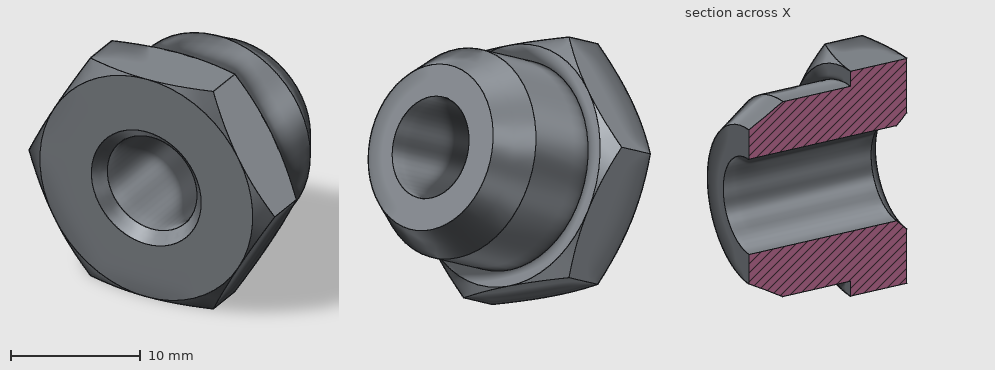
import cadquery as cq
import math

across_corners = 21.95
across_flats = across_corners * math.cos(math.radians(30))
total_length = 14.0
hex_thickness = 5.0
shank_diameter = 16.5
nose_length = 3.0
nose_angle = 30.0
bore_diameter = 8.0
countersink_diameter = 9.8
countersink_half_angle = 45.0
corner_chamfer_angle = 30.0


def revolve_about_axis(points):
    """Revolve a closed (radius, y) outline about the Y axis."""
    return cq.Workplane("XY").polyline(points).close().revolve(360, (0, 0, 0), (0, 1, 0))


def make_hex_head():
    """Hexagon with corners on X and conical chamfers on both faces."""
    prism = (
        cq.Workplane("XZ")
        .polygon(6, across_corners)
        .extrude(-hex_thickness)
    )
    face_radius = across_flats / 2
    corner_radius = across_corners / 2
    chamfer_height = (corner_radius - face_radius) * math.tan(math.radians(corner_chamfer_angle))
    envelope = revolve_about_axis([
        (0, 0),
        (face_radius, 0),
        (corner_radius, chamfer_height),
        (corner_radius, hex_thickness - chamfer_height),
        (face_radius, hex_thickness),
        (0, hex_thickness),
    ])
    return prism.intersect(envelope)


def make_shank():
    """Round shank with a tapered nose."""
    shank_radius = shank_diameter / 2
    nose_radius = shank_radius - nose_length * math.tan(math.radians(nose_angle))
    return revolve_about_axis([
        (0, 0),
        (shank_radius, 0),
        (shank_radius, total_length - nose_length),
        (nose_radius, total_length),
        (0, total_length),
    ])


def make_bore():
    """Through bore with a countersink in the hexagon face."""
    bore_radius = bore_diameter / 2
    countersink_radius = countersink_diameter / 2
    countersink_depth = (countersink_radius - bore_radius) / math.tan(math.radians(countersink_half_angle))
    return revolve_about_axis([
        (0, 0),
        (countersink_radius, 0),
        (bore_radius, countersink_depth),
        (bore_radius, total_length),
        (0, total_length),
    ])


result = make_hex_head().union(make_shank()).cut(make_bore())